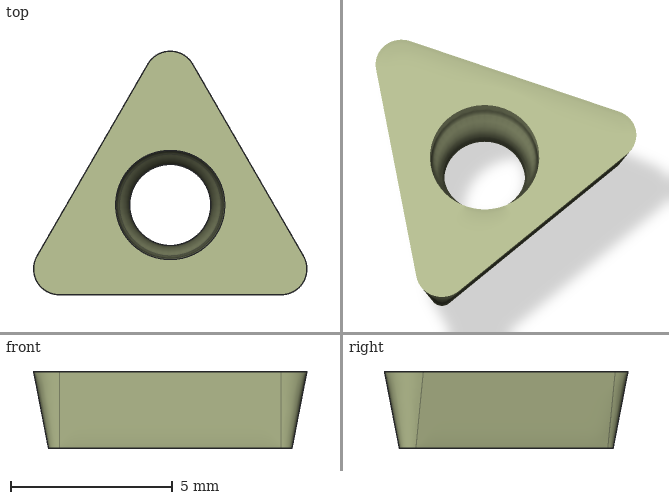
import cadquery as cq
import math

thickness = 2.38
corner_radius = 0.8
corner_spacing = 6.85
relief_angle = 11.0

mouth_radius = 1.69
mouth_end_radius = 1.66
mouth_depth = 0.47
seat_radius = 1.57
seat_depth = 0.72
bore_radius = 2.5 / 2
bore_depth = 1.87


def tapered_plate():
    """Rounded triangle centred on Z, top face largest, flat side towards -Y."""
    inradius = corner_spacing / (2 * math.sqrt(3))
    half_spacing = corner_spacing / 2
    corner_centres = [
        (-half_spacing, -inradius),
        (half_spacing, -inradius),
        (0, 2 * inradius),
    ]
    return (
        cq.Workplane("XY", origin=(0, 0, thickness))
        .polyline(corner_centres)
        .close()
        .offset2D(corner_radius)
        .extrude(-thickness, taper=relief_angle)
    )


def tangent_arc_middle(tangent_point, end_point):
    """Midpoint of an arc whose tangent at tangent_point runs along the hole axis."""
    radial = end_point[0] - tangent_point[0]
    axial = end_point[1] - tangent_point[1]
    arc_radius = (radial**2 + axial**2) / (2 * abs(radial))
    half_sweep = math.asin(abs(axial) / arc_radius) / 2
    return (
        tangent_point[0] + math.copysign(arc_radius * (1 - math.cos(half_sweep)), radial),
        tangent_point[1] + math.copysign(arc_radius * math.sin(half_sweep), axial),
    )


def screw_hole():
    """Revolved cutter: slightly conical mouth, rounded transition, flared seat and bore."""
    mouth_end = (mouth_end_radius, thickness - mouth_depth)
    seat_start = (seat_radius, thickness - seat_depth)
    bore_start = (bore_radius, thickness - bore_depth)
    return (
        cq.Workplane("XZ")
        .moveTo(0, thickness)
        .lineTo(mouth_radius, thickness)
        .lineTo(*mouth_end)
        .tangentArcPoint(seat_start, relative=False)
        .threePointArc(tangent_arc_middle(bore_start, seat_start), bore_start)
        .lineTo(bore_radius, 0)
        .lineTo(0, 0)
        .close()
        .revolve(360, (0, 0, 0), (0, 1, 0))
    )


result = tapered_plate().cut(screw_hole())